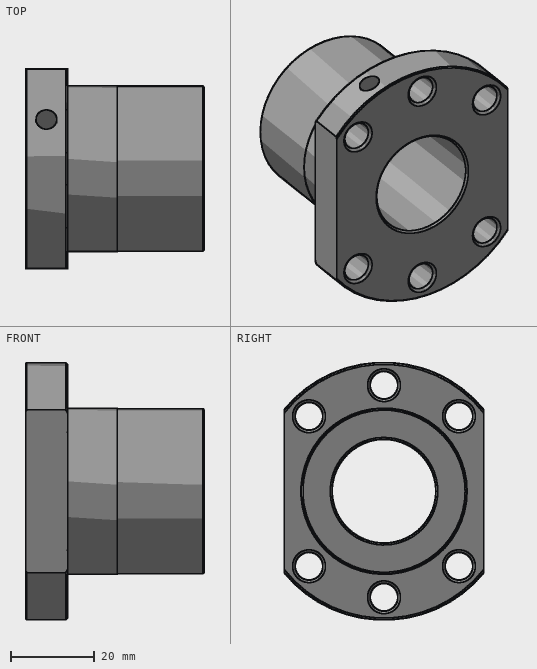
import cadquery as cq
import math

flange_diameter = 62.0
flange_width = 48.0
flange_thickness = 10.1
flange_front_chamfer = 0.3
flange_rear_chamfer = 0.5

total_length = 43.0
seat_diameter = 40.0
seat_length = 11.9
rear_diameter = 39.8
rear_chamfer = 0.4

bore_diameter = 24.9
bore_chamfer = 0.5

bolt_circle_diameter = 51.0
bolt_hole_diameter = 6.6
bolt_hole_chamfer = 0.65
bolt_hole_angles = (45, 90, 135, 225, 270, 315)

oil_hole_diameter = 5.0
oil_hole_offset = 5.0
oil_hole_angle = 22.5


def cylinder(diameter, start, length):
    """Cylinder along X, beginning at x = start."""
    return cq.Workplane("YZ", origin=(start, 0, 0)).circle(diameter / 2).extrude(length)


def make_flange():
    disc = cylinder(flange_diameter, 0, flange_thickness)
    disc = disc.faces("<X").chamfer(flange_front_chamfer)
    disc = disc.faces(">X").chamfer(flange_rear_chamfer)
    flats = cq.Workplane("XY").box(
        flange_thickness, flange_width, flange_diameter, centered=(False, True, True)
    )
    return disc.intersect(flats)


def make_barrel():
    seat_end = flange_thickness + seat_length
    seat = cylinder(seat_diameter, 0, seat_end)
    rear = cylinder(rear_diameter, seat_end, total_length - seat_end)
    return seat.union(rear.faces(">X").chamfer(rear_chamfer))


def chamfered_hole(diameter, chamfer, length):
    """Cutter along X for a through hole with a 45 degree chamfer at each end."""
    inner = diameter / 2
    outer = inner + chamfer
    profile = [
        (0, 0),
        (0, outer),
        (chamfer, inner),
        (length - chamfer, inner),
        (length, outer),
        (length, 0),
    ]
    return cq.Workplane("XY").polyline(profile).close().revolve(360, (0, 0, 0), (1, 0, 0))


def cut_bolt_holes(body):
    cutter = chamfered_hole(bolt_hole_diameter, bolt_hole_chamfer, flange_thickness)
    for angle in bolt_hole_angles:
        y = bolt_circle_diameter / 2 * math.cos(math.radians(angle))
        z = bolt_circle_diameter / 2 * math.sin(math.radians(angle))
        body = body.cut(cutter.translate((0, y, z)))
    return body


def cut_oil_hole(body):
    angle = math.radians(oil_hole_angle)
    direction = cq.Vector(0, math.sin(angle), math.cos(angle))
    start = cq.Vector(oil_hole_offset, 0, 0)
    drill = cq.Solid.makeCylinder(oil_hole_diameter / 2, flange_diameter / 2, start, direction)
    return body.cut(cq.Workplane(drill))


result = make_flange().union(make_barrel())
result = result.cut(chamfered_hole(bore_diameter, bore_chamfer, total_length))
result = cut_bolt_holes(result)
result = cut_oil_hole(result)